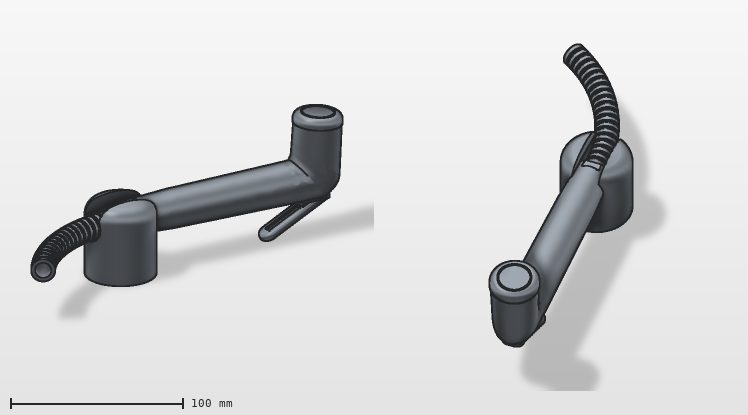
import cadquery as cq
import math

holder_radius = 21.0
holder_shoulder_z = 36.8
holder_shoulder_radius = 9.8
holder_crown_radius = 46.0
slot_width = 16.6

handle_axis_z = 33.35
handle_end_y = 5.1
grip_start_y = 33.2
grip_end_y = 108.0
handle_end_radius = 10.4
grip_start_radius = 11.7
grip_end_radius = 12.55
notch_length = 5.0
notch_width = 9.8

cap_tilt = 3.5
cap_radius = 14.7
cap_height = 6.48
cap_edge_radius = 4.5
cap_base_y = 131.3
cap_base_z = 67.3
face_ring_outer_radius = 10.0
face_ring_inner_radius = 9.2
face_ring_depth = 0.4
neck_half_depth = 14.3
neck_half_width = 14.0
elbow_top_back = (144.2, 32.5)
elbow_top_front = (115.9, 57.0)
elbow_top_half_width = 13.3
elbow_middle_back = (141.3, 26.2)
elbow_middle_front = (115.4, 50.0)
elbow_middle_half_width = 13.0
elbow_bottom_back = (133.0, 20.9)
elbow_bottom_front = (114.0, 46.1)
elbow_bottom_half_width = 12.7

lever_width = 12.0
lever_slope = 26.6
lever_thickness = 4.8
lever_edge_radius = 1.8
lever_root_y = 134.5
lever_root_z = 25.2
lever_length = 47.1
lever_channel_width = 4.5
lever_channel_depth = 1.5
lever_channel_start = 18.0
lever_pad_length = 20.5
lever_pad_width = 13.0
lever_pad_corner_radius = 4.4
lever_pad_center_y = 127.5
lever_pad_bottom_z = 21.0
lever_pad_top_z = 25.0
lever_web_front_y = 119.4
lever_web_back_y = 131.0
lever_web_bottom_z = 16.0
lever_web_width = 8.0

hose_radius = 7.05
hose_bore_radius = 4.7
hose_bend_start_y = 0.0
hose_bend_radius = 89.1
hose_bend_angle = 60.0
groove_depth = 0.7
groove_width = 1.7
groove_count = 19
first_groove_angle = 0.6
last_groove_angle = 57.5


def cone_along_y(start_y, start_radius, end_y, end_radius):
    """Cone on the handle axis between two stations along Y."""
    return (
        cq.Workplane("XY", origin=(0, 0, handle_axis_z))
        .polyline([(0, start_y), (start_radius, start_y), (end_radius, end_y), (0, end_y)])
        .close()
        .revolve(360, (0, 0), (0, 1))
    )


def lower_handle_radius(y):
    """Radius of the lower handle cone, continued past its end for the cradle."""
    taper = (grip_start_radius - handle_end_radius) / (grip_start_y - handle_end_y)
    return handle_end_radius + taper * (y - handle_end_y)


def neck_section(back, front, half_width):
    """Ellipse across X whose other diameter runs from the back point to the front point, as (y, z)."""
    center = cq.Vector(0, (back[0] + front[0]) / 2, (back[1] + front[1]) / 2)
    along = cq.Vector(0, back[0] - front[0], back[1] - front[1])
    across = cq.Vector(1, 0, 0)
    plane = cq.Plane(center, across, across.cross(along))
    return cq.Workplane(plane).ellipse(half_width, along.Length / 2).val()


def loft(sections, ruled=False):
    return cq.Workplane(cq.Solid.makeLoft(sections, ruled))


def make_grip():
    lower = cone_along_y(handle_end_y, handle_end_radius, grip_start_y, grip_start_radius)
    grip = cone_along_y(grip_start_y, grip_start_radius, grip_end_y, grip_end_radius)
    notch_floor_z = handle_axis_z + math.sqrt(handle_end_radius**2 - (notch_width / 2) ** 2)
    notch = cq.Workplane("XY", origin=(0, handle_end_y, notch_floor_z)).box(
        2 * handle_end_radius, 2 * notch_length, handle_end_radius, centered=(True, True, False)
    )
    return lower.cut(notch).union(grip)


def make_neck():
    tilt = math.radians(cap_tilt)
    reach_y = neck_half_depth * math.cos(tilt)
    reach_z = neck_half_depth * math.sin(tilt)
    under_cap = neck_section(
        (cap_base_y + reach_y, cap_base_z - reach_z),
        (cap_base_y - reach_y, cap_base_z + reach_z),
        neck_half_width,
    )
    upper = neck_section(elbow_top_back, elbow_top_front, elbow_top_half_width)
    middle = neck_section(elbow_middle_back, elbow_middle_front, elbow_middle_half_width)
    lower = neck_section(elbow_bottom_back, elbow_bottom_front, elbow_bottom_half_width)
    at_grip = neck_section(
        (grip_end_y, handle_axis_z - grip_end_radius),
        (grip_end_y, handle_axis_z + grip_end_radius),
        grip_end_radius,
    )
    stem = loft([under_cap, upper], ruled=True)
    elbow = loft([upper, middle, lower])
    root = loft([lower, at_grip], ruled=True)
    return root.union(elbow).union(stem)


def make_cap():
    tilt = math.radians(cap_tilt)
    axis = cq.Vector(0, math.sin(tilt), math.cos(tilt))
    plane = cq.Plane((0, cap_base_y, cap_base_z), (1, 0, 0), axis)
    cap = cq.Workplane(plane).circle(cap_radius).extrude(cap_height)
    cap = cap.edges(cq.selectors.DirectionMinMaxSelector(axis, True)).fillet(cap_edge_radius)
    face_ring = (
        cq.Workplane(plane)
        .workplane(offset=cap_height - face_ring_depth)
        .circle(face_ring_outer_radius)
        .circle(face_ring_inner_radius)
        .extrude(2 * face_ring_depth)
    )
    return cap.cut(face_ring)


def make_lever():
    slope = math.radians(lever_slope)
    half_width = lever_width / 2
    plane = cq.Plane(
        (0, lever_root_y, lever_root_z),
        (0, -math.cos(slope), -math.sin(slope)),
        (0, -math.sin(slope), math.cos(slope)),
    )
    tip_center = lever_length - half_width
    arm = (
        cq.Workplane(plane)
        .moveTo(0, -half_width)
        .lineTo(tip_center, -half_width)
        .threePointArc((lever_length, 0), (tip_center, half_width))
        .lineTo(0, half_width)
        .close()
        .extrude(-lever_thickness)
        .edges()
        .fillet(lever_edge_radius)
    )
    channel_length = tip_center - lever_channel_start
    channel = (
        cq.Workplane(plane)
        .center(lever_channel_start + channel_length / 2, 0)
        .rect(channel_length, lever_channel_width)
        .extrude(-lever_channel_depth)
    )
    pad = (
        cq.Workplane("XY", origin=(0, lever_pad_center_y, lever_pad_bottom_z))
        .rect(lever_pad_width, lever_pad_length)
        .extrude(lever_pad_top_z - lever_pad_bottom_z)
        .edges("|Z")
        .fillet(lever_pad_corner_radius)
    )
    web = (
        cq.Workplane("YZ")
        .polyline(
            [
                (lever_web_front_y, lever_pad_top_z),
                (lever_web_front_y, lever_web_bottom_z),
                (lever_web_back_y, lever_pad_bottom_z),
                (lever_web_back_y, lever_pad_top_z),
            ]
        )
        .close()
        .extrude(lever_web_width / 2, both=True)
    )
    return arm.cut(channel).union(pad).union(web)


def hose_bend(section, start_angle, end_angle):
    """Revolve of a section, drawn by a function on the hose's cross plane, over part of the bend."""
    start = cq.Workplane("XZ", origin=(0, hose_bend_start_y, handle_axis_z))
    bend = section(start).revolve(end_angle - start_angle, (hose_bend_radius, 0), (hose_bend_radius, 1))
    pivot = (hose_bend_radius, hose_bend_start_y, 0)
    return bend.rotate(pivot, (pivot[0], pivot[1], 1), start_angle)


def make_hose():
    lead_length = handle_end_y - hose_bend_start_y
    lead = (
        cq.Workplane("XZ", origin=(0, handle_end_y, handle_axis_z))
        .circle(hose_radius)
        .circle(hose_bore_radius)
        .extrude(lead_length)
    )
    tube = hose_bend(lambda plane: plane.circle(hose_radius).circle(hose_bore_radius), 0, hose_bend_angle)
    hose = lead.union(tube)
    pitch = (last_groove_angle - first_groove_angle) / (groove_count - 1)
    half_groove = math.degrees(groove_width / hose_bend_radius) / 2
    for index in range(groove_count):
        angle = first_groove_angle + index * pitch
        groove = hose_bend(
            lambda plane: plane.circle(hose_radius + groove_depth).circle(hose_radius - groove_depth),
            angle - half_groove,
            angle + half_groove,
        )
        hose = hose.cut(groove)
    return hose


def make_holder():
    shoulder_x = holder_radius - holder_shoulder_radius
    crown_angle = math.asin(shoulder_x / (holder_crown_radius - holder_shoulder_radius))
    join_x = holder_crown_radius * math.sin(crown_angle)
    join_z = holder_shoulder_z + holder_shoulder_radius * math.cos(crown_angle)
    top_z = join_z + holder_crown_radius * (1 - math.cos(crown_angle))
    body = (
        cq.Workplane("XZ")
        .lineTo(holder_radius, 0)
        .lineTo(holder_radius, holder_shoulder_z)
        .radiusArc((join_x, join_z), -holder_shoulder_radius)
        .radiusArc((0, top_z), -holder_crown_radius)
        .close()
        .revolve(360, (0, 0), (0, 1))
    )
    reach = holder_radius + 1
    cradle = cone_along_y(-reach, lower_handle_radius(-reach), reach, lower_handle_radius(reach))
    slot = cq.Workplane("XY", origin=(0, 0, handle_axis_z)).box(
        slot_width, 2 * reach, reach, centered=(True, True, False)
    )
    hose_clearance = hose_bend(lambda plane: plane.circle(hose_radius), 0, hose_bend_angle)
    return body.cut(cradle).cut(slot).cut(hose_clearance)


holder = make_holder()
hose = make_hose()
shower = make_grip().union(make_neck()).union(make_cap()).union(make_lever())

result = cq.Compound.makeCompound([holder.val(), shower.val(), hose.val()])